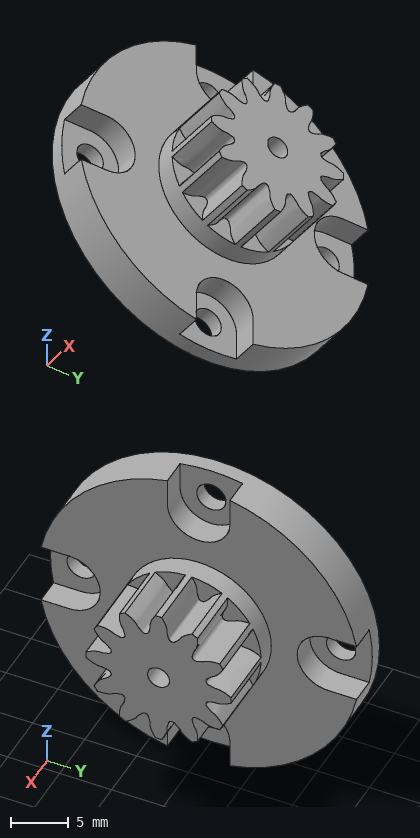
import cadquery as cq
import math

plate_diameter = 31.0
plate_thickness = 4.0

screw_count = 4
screw_circle_radius = 12.5
screw_hole_diameter = 2.8
recess_width = 6.0
recess_floor = 1.5

collar_length = 2.0
gear_length = 5.98
bore_diameter = 2.1

tooth_count = 12
tip_diameter = 13.98
pressure_angle = math.radians(20)
dedendum_factor = 1.25
root_width = 0.4
root_fillet = 0.3
flare_exponent = 1.5
flare_points = 3
involute_points = 5

module = tip_diameter / (tooth_count + 2)
pitch_radius = module * tooth_count / 2
tip_radius = tip_diameter / 2
base_radius = pitch_radius * math.cos(pressure_angle)
root_radius = pitch_radius - dedendum_factor * module
tooth_pitch = 2 * math.pi / tooth_count

collar_start = plate_thickness
gear_start = collar_start + collar_length
total_length = gear_start + gear_length


def polar(radius, angle):
    return radius * math.cos(angle), radius * math.sin(angle)


def involute_half_angle(radius):
    """Half the angle a tooth spans at a radius on or outside the base circle."""
    local_pressure = math.acos(min(1.0, base_radius / radius))
    involute = math.tan(local_pressure) - local_pressure
    pitch_involute = math.tan(pressure_angle) - pressure_angle
    return tooth_pitch / 4 + pitch_involute - involute


def flared_half_angle(radius):
    """Half the angle a tooth spans inside the base circle, widening towards the root."""
    base_half = involute_half_angle(base_radius)
    foot_half = tooth_pitch / 2 - root_width / (2 * root_radius)
    depth = (base_radius - radius) / (base_radius - root_radius)
    return base_half + (foot_half - base_half) * depth**flare_exponent


def flank_stations():
    """(radius, half tooth angle) pairs along one flank, from the root to the tip."""
    stations = []
    for step in range(flare_points):
        radius = root_radius + (base_radius - root_radius) * step / flare_points
        stations.append((radius, flared_half_angle(radius)))
    for step in range(involute_points):
        roll = step / (involute_points - 1)
        radius = math.sqrt(base_radius**2 + (tip_radius**2 - base_radius**2) * roll**2)
        stations.append((radius, involute_half_angle(radius)))
    return stations


def disc(start, length, diameter):
    return cq.Workplane("YZ", origin=(start, 0, 0)).circle(diameter / 2).extrude(length)


def make_pinion():
    stations = flank_stations()
    foot_half = stations[0][1]

    outline = cq.Workplane("YZ", origin=(gear_start, 0, 0)).moveTo(*polar(root_radius, -foot_half))
    for tooth in range(tooth_count):
        middle = tooth * tooth_pitch
        rising = [polar(radius, middle - half) for radius, half in stations]
        falling = [polar(radius, middle + half) for radius, half in reversed(stations)]
        next_gap = middle + tooth_pitch / 2
        next_foot = middle + tooth_pitch - foot_half
        outline = (
            outline.spline(rising[1:], includeCurrent=True)
            .threePointArc(polar(tip_radius, middle), falling[0])
            .spline(falling[1:], includeCurrent=True)
            .threePointArc(polar(root_radius, next_gap), polar(root_radius, next_foot))
        )
    pinion = outline.close().extrude(gear_length)

    root_corners = [
        edge
        for edge in pinion.edges("|X").vals()
        if math.hypot(edge.Center().y, edge.Center().z) < base_radius
    ]
    return pinion.newObject(root_corners).fillet(root_fillet)


def make_screw_seat():
    """Cutting shape on the +Y side: a screw hole and its open-ended recess."""
    hole = disc(0, plate_thickness, screw_hole_diameter).translate((0, screw_circle_radius, 0))
    recess_depth = plate_thickness - recess_floor
    round_end = disc(recess_floor, recess_depth, recess_width).translate((0, screw_circle_radius, 0))
    channel = cq.Workplane("XY").box(
        recess_depth, plate_diameter / 2, recess_width, centered=(False, False, True)
    )
    channel = channel.translate((recess_floor, screw_circle_radius, 0))
    return hole.union(round_end).union(channel)


result = disc(0, plate_thickness, plate_diameter)
screw_seat = make_screw_seat()
for seat in range(screw_count):
    turn = seat * 360 / screw_count
    result = result.cut(screw_seat.rotate((0, 0, 0), (1, 0, 0), turn))

result = result.union(disc(collar_start, collar_length, tip_diameter))
result = result.union(make_pinion())
result = result.cut(disc(0, total_length, bore_diameter))